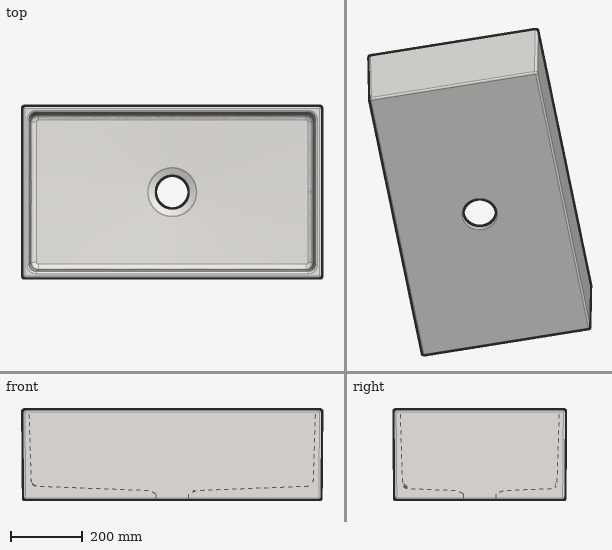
import cadquery as cq
import math

length = 838.0
width = 483.0
height = 254.0

outer_draft = 0.5
rim_outer_radius = 8.0
corner_radius = 8.0
base_radius = 6.0

wall_thickness = 19.0
basin_draft = 1.8
basin_corner_radius = 20.0
basin_floor_radius = 15.0
rim_inner_radius = 6.0
floor_slope = 2.2

drain_bore = 90.5
recess_diameter = 136.0
recess_slope = 21.0
recess_height = 27.0
drain_edge_radius = 4.0
bore_radius = drain_bore / 2
recess_radius = recess_diameter / 2


def tan_deg(angle):
    return math.tan(math.radians(angle))


def make_body():
    """Tapered block whose rounded top rim spans the full length and width."""
    trim = 2 * rim_outer_radius * tan_deg(outer_draft)
    block = (
        cq.Workplane("XY", origin=(0, 0, height))
        .rect(length + trim, width + trim)
        .extrude(-height, taper=outer_draft)
    )
    block = block.edges("not(|X or |Y)").fillet(corner_radius)
    block = block.faces(">Z").edges().fillet(rim_outer_radius)
    return block.faces("<Z").edges().fillet(base_radius)


def make_floor_cone():
    """Everything below the basin floor: a wide, shallow funnel around the drain."""
    reach = length
    rise = (reach - recess_radius) * tan_deg(floor_slope)
    drop = recess_radius * tan_deg(floor_slope)
    return (
        cq.Workplane("XZ")
        .lineTo(reach, 0)
        .lineTo(reach, recess_height + rise)
        .lineTo(0, recess_height - drop)
        .close()
        .revolve(360, (0, 0, 0), (0, 1, 0))
    )


def make_basin():
    """Solid filling the basin, with rounded corners and a rounded floor edge."""
    basin = (
        cq.Workplane("XY", origin=(0, 0, height))
        .rect(length - 2 * wall_thickness, width - 2 * wall_thickness)
        .extrude(-height, taper=basin_draft)
    )
    basin = basin.edges("not(|X or |Y)").fillet(basin_corner_radius)
    basin = basin.cut(make_floor_cone())
    return basin.faces("<Z").edges().fillet(basin_floor_radius)


def make_drain():
    """Conical seat and through bore as one revolved cutter."""
    seat_drop = (recess_radius - bore_radius) * tan_deg(recess_slope)
    return (
        cq.Workplane("XZ")
        .lineTo(bore_radius, 0)
        .lineTo(bore_radius, recess_height - seat_drop)
        .lineTo(recess_radius, recess_height)
        .lineTo(0, recess_height)
        .close()
        .revolve(360, (0, 0, 0), (0, 1, 0))
    )


def make_sink():
    """Hollow body with the inner rim, the seat edge and both ends of the bore rounded."""
    sink = make_body().cut(make_basin())
    inner_rim = sink.faces(">Z").wires(cq.selectors.LengthNthSelector(0))
    sink = inner_rim.edges().fillet(rim_inner_radius)
    sink = sink.cut(make_drain())
    drain_zone = cq.selectors.BoxSelector(
        (-recess_diameter, -recess_diameter, -height / 2),
        (recess_diameter, recess_diameter, height / 2),
    )
    return sink.edges("%CIRCLE").edges(drain_zone).fillet(drain_edge_radius)


result = make_sink()